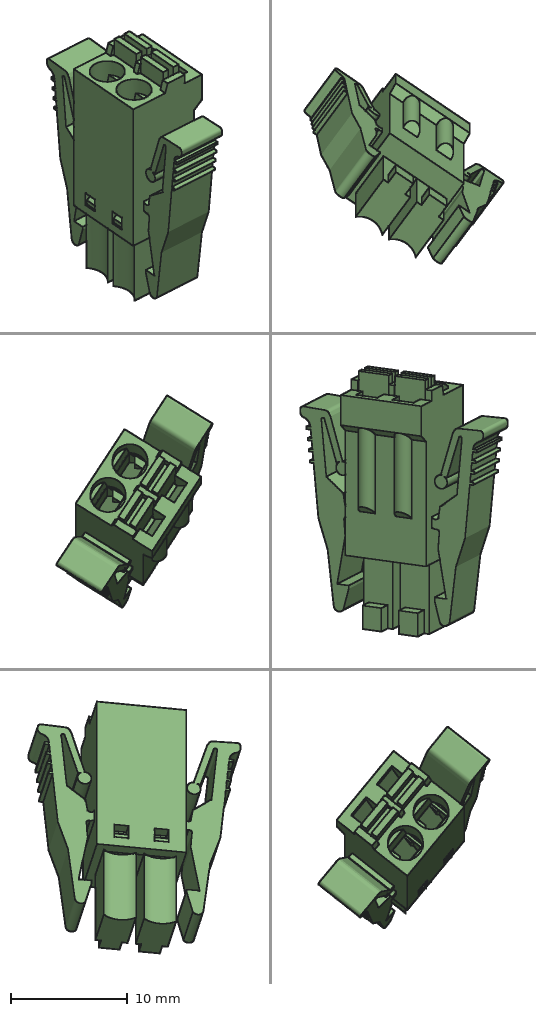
import cadquery as cq
import math


POLE_PITCH = 3.5
POLE_X = (-POLE_PITCH / 2, POLE_PITCH / 2)

HOUSING_WIDTH = 7.8
HOUSING_DEPTH = 7.8
HOUSING_BOTTOM = 6.61
HOUSING_TOP = 21.1
BACK_STEP = 0.9
LOWER_BACK = HOUSING_DEPTH - BACK_STEP
BACK_STEP_TOP = 18.42
BACK_SLOPE_DROP = 0.7

RIB_RADIUS = 0.75
RIB_BOTTOM = 10.7

CHEEK_TOP = 22.0
CHEEK_BACK = 5.84
CHEEK_FRONT_TOP = 3.9
CHEEK_FRONT_FOOT = 3.63

WELL_WIDTH = 2.99
WELL_FRONT = 3.95
WELL_BACK = CHEEK_BACK
WELL_FLOOR = 17.78
BUTTON_WIDTH = 2.92
BUTTON_SHIFT = (WELL_WIDTH - BUTTON_WIDTH) / 2
BUTTON_BACK = 5.7
BUTTON_TOP = 22.8
BUTTON_BAR = 0.6
BUTTON_SLOT_FLOOR = HOUSING_TOP

POCKET_WIDTH = 2.05
POCKET_BACK = 7.1
POCKET_FRONT = 6.09
POCKET_SLOPE = 66.5

ENTRY_Y = 1.94
ENTRY_DIAMETER = 3.03
ENTRY_DEPTH = 1.45
ENTRY_FLOOR = HOUSING_TOP - ENTRY_DEPTH
FUNNEL_FRONT = 0.87
FUNNEL_BACK = 3.03
FUNNEL_TAPER = 0.2
FUNNEL_BOTTOM = 17.78

CONTACT_WIDTH = 2.7
CONTACT_FRONT = 0.98
CONTACT_BACK = 2.95
CONTACT_TOP = FUNNEL_BOTTOM
CONTACT_MOUTH_FRONT = FUNNEL_FRONT + FUNNEL_TAPER
CONTACT_MOUTH_BACK = FUNNEL_BACK - FUNNEL_TAPER
CONTACT_SLOPE = 62.6
MOUTH_LEFT = -1.2
MOUTH_LEFT_BACK = -0.68
MOUTH_RIGHT = 1.07
MOUTH_RIGHT_BACK = 0.9
SHOULDER_FRONT = 1.66
SHOULDER_BACK = 1.98
LEDGE_FRONT = 1.87
LEDGE_DEPTH = 0.23

SLEEVE_WIDTH = 2.8
SLEEVE_FRONT = 0.78
BASE_BACK = 4.92
CORE_FRONT = 1.05
CORE_TOP = 10.25
CORE_WIDTH = POLE_PITCH + SLEEVE_WIDTH
FOOT_BACK = 6.09
FOOT_HEIGHT = 2.1
FOOT_WIDTH = 1.82

WINDOW_WIDTH = 1.23
WINDOW_BOTTOM = 7.5
WINDOW_TOP = 8.75
NOSE_FRONT = 0.15
NOSE_FACE_TOP = 7.93
NOSE_TOP = 8.55

LATCH_FRONT = 1.2
LATCH_BACK = 5.81
BALL_DIAMETER = 1.2


def box(x_min, x_max, y_min, y_max, z_min, z_max):
    size = (x_max - x_min, y_max - y_min, z_max - z_min)
    return cq.Workplane("XY").box(*size, centered=False).translate((x_min, y_min, z_min))


def pole_box(x, width, y_min, y_max, z_min, z_max):
    return box(x - width / 2, x + width / 2, y_min, y_max, z_min, z_max)


def side_prism(points, x, width):
    """Extrude a (Y, Z) outline along X, centred on x."""
    return cq.Workplane("YZ").polyline(points).close().extrude(width / 2, both=True).translate((x, 0, 0))


def back_rib(x):
    flat = BACK_STEP - RIB_RADIUS
    rib = (
        cq.Workplane("XY")
        .workplane(offset=RIB_BOTTOM)
        .moveTo(x - RIB_RADIUS, LOWER_BACK)
        .lineTo(x - RIB_RADIUS, LOWER_BACK + flat)
        .threePointArc((x, HOUSING_DEPTH), (x + RIB_RADIUS, LOWER_BACK + flat))
        .lineTo(x + RIB_RADIUS, LOWER_BACK)
        .close()
        .extrude(BACK_STEP_TOP - RIB_BOTTOM)
    )
    end_slope = side_prism(
        [
            (LOWER_BACK, RIB_BOTTOM),
            (HOUSING_DEPTH, RIB_BOTTOM),
            (HOUSING_DEPTH, RIB_BOTTOM + BACK_SLOPE_DROP),
        ],
        x,
        2 * RIB_RADIUS,
    )
    return rib.cut(end_slope)


def test_pocket(x):
    """Pocket open to the well: its back wall drops straight, then slopes to the well floor."""
    slope_height = (POCKET_BACK - POCKET_FRONT) * math.tan(math.radians(POCKET_SLOPE))
    outline = [
        (POCKET_BACK, HOUSING_TOP),
        (POCKET_BACK, WELL_FLOOR + slope_height),
        (POCKET_FRONT, WELL_FLOOR),
        (WELL_BACK, WELL_FLOOR),
        (WELL_BACK, HOUSING_TOP),
    ]
    return side_prism(outline, x, POCKET_WIDTH)


def wire_entry(x):
    """Round bore that goes on below its floor with tapered front and back walls."""
    radius = ENTRY_DIAMETER / 2
    bore = cq.Workplane("XY").circle(radius).extrude(HOUSING_TOP - FUNNEL_BOTTOM)
    bore = bore.translate((x, ENTRY_Y, FUNNEL_BOTTOM))
    funnel = side_prism(
        [
            (CONTACT_MOUTH_FRONT, FUNNEL_BOTTOM),
            (FUNNEL_FRONT, ENTRY_FLOOR),
            (FUNNEL_BACK, ENTRY_FLOOR),
            (CONTACT_MOUTH_BACK, FUNNEL_BOTTOM),
        ],
        x,
        ENTRY_DIAMETER,
    )
    round_part = pole_box(
        x, ENTRY_DIAMETER, ENTRY_Y - radius, ENTRY_Y + radius, ENTRY_FLOOR, HOUSING_TOP
    )
    return bore.intersect(funnel.union(round_part))


def contact_block(x):
    return pole_box(x, CONTACT_WIDTH, CONTACT_FRONT, CONTACT_BACK, CORE_TOP, CONTACT_TOP)


def base_core():
    return box(-CORE_WIDTH / 2, CORE_WIDTH / 2, CORE_FRONT, BASE_BACK, HOUSING_BOTTOM, CORE_TOP)


def make_housing():
    outline = [
        (0, HOUSING_BOTTOM),
        (LOWER_BACK, HOUSING_BOTTOM),
        (LOWER_BACK, BACK_STEP_TOP - BACK_SLOPE_DROP),
        (HOUSING_DEPTH, BACK_STEP_TOP),
        (HOUSING_DEPTH, HOUSING_TOP),
        (CHEEK_BACK, HOUSING_TOP),
        (CHEEK_BACK, CHEEK_TOP),
        (CHEEK_FRONT_TOP, CHEEK_TOP),
        (CHEEK_FRONT_FOOT, HOUSING_TOP),
        (0, HOUSING_TOP),
    ]
    housing = side_prism(outline, 0, HOUSING_WIDTH).cut(base_core())
    for x in POLE_X:
        housing = (
            housing.union(back_rib(x))
            .cut(pole_box(x, WELL_WIDTH, CHEEK_FRONT_FOOT, WELL_BACK, HOUSING_TOP, CHEEK_TOP))
            .cut(pole_box(x, WELL_WIDTH, WELL_FRONT, WELL_BACK, WELL_FLOOR, HOUSING_TOP))
            .cut(test_pocket(x))
            .cut(wire_entry(x))
            .cut(contact_block(x))
            .cut(pole_box(x, WINDOW_WIDTH, 0, CORE_FRONT, WINDOW_BOTTOM, WINDOW_TOP))
        )
    return housing


def make_button(x):
    center = x + BUTTON_SHIFT
    block = pole_box(center, BUTTON_WIDTH, WELL_FRONT, BUTTON_BACK, WELL_FLOOR, BUTTON_TOP)
    slot_front = WELL_FRONT + BUTTON_BAR
    slot_back = BUTTON_BACK - BUTTON_BAR
    slot = pole_box(center, BUTTON_WIDTH, slot_front, slot_back, BUTTON_SLOT_FLOOR, BUTTON_TOP)
    return block.cut(slot)


def make_contact(x):
    """Clamp block with a mouth that is wider at the front and ends on a sloped spring face."""
    mouth_outline = [
        (MOUTH_LEFT, CONTACT_MOUTH_FRONT),
        (MOUTH_RIGHT, CONTACT_MOUTH_FRONT),
        (MOUTH_RIGHT, LEDGE_FRONT),
        (MOUTH_RIGHT_BACK, LEDGE_FRONT + MOUTH_RIGHT - MOUTH_RIGHT_BACK),
        (MOUTH_RIGHT_BACK, CONTACT_MOUTH_BACK),
        (MOUTH_LEFT_BACK, CONTACT_MOUTH_BACK),
        (MOUTH_LEFT_BACK, SHOULDER_BACK),
        (MOUTH_LEFT, SHOULDER_FRONT),
    ]
    drop = (CONTACT_MOUTH_BACK - CONTACT_MOUTH_FRONT) * math.tan(math.radians(CONTACT_SLOPE))
    mouth = cq.Workplane("XY").polyline(mouth_outline).close().extrude(drop)
    mouth = mouth.translate((x, 0, CONTACT_TOP - drop))
    above_spring = side_prism(
        [
            (CONTACT_MOUTH_FRONT, CONTACT_TOP),
            (CONTACT_MOUTH_BACK, CONTACT_TOP),
            (CONTACT_MOUTH_FRONT, CONTACT_TOP - drop),
        ],
        x,
        CONTACT_WIDTH,
    )
    ledge = box(
        x + MOUTH_RIGHT_BACK,
        x + MOUTH_RIGHT,
        LEDGE_FRONT,
        CONTACT_MOUTH_BACK,
        CONTACT_TOP - LEDGE_DEPTH,
        CONTACT_TOP,
    )
    return contact_block(x).cut(mouth.intersect(above_spring)).cut(ledge)


def sleeve(x):
    """Block below the housing whose front is a hollow quarter-circle arc."""
    half = SLEEVE_WIDTH / 2
    hollow_depth = half * math.tan(math.radians(22.5))
    return (
        cq.Workplane("XY")
        .moveTo(x - half, SLEEVE_FRONT)
        .threePointArc((x, SLEEVE_FRONT + hollow_depth), (x + half, SLEEVE_FRONT))
        .lineTo(x + half, BASE_BACK)
        .lineTo(x - half, BASE_BACK)
        .close()
        .extrude(HOUSING_BOTTOM)
    )


def snap_nose(x):
    outline = [
        (CORE_FRONT, WINDOW_BOTTOM),
        (NOSE_FRONT, WINDOW_BOTTOM),
        (NOSE_FRONT, NOSE_FACE_TOP),
        (CORE_FRONT, NOSE_TOP),
    ]
    return side_prism(outline, x, WINDOW_WIDTH)


def make_base():
    base = base_core()
    for x in POLE_X:
        base = (
            base.union(sleeve(x))
            .union(pole_box(x, FOOT_WIDTH, BASE_BACK, FOOT_BACK, 0, FOOT_HEIGHT))
            .union(snap_nose(x))
        )
    return base


def latch_plate(outline):
    """Extrude a closed XZ outline over the depth of the latch."""
    return outline.extrude(LATCH_FRONT - LATCH_BACK).translate((0, LATCH_FRONT, 0))


def make_latch():
    """Latch lever on the -X side of the housing."""
    wall = -HOUSING_WIDTH / 2
    lever = latch_plate(
        cq.Workplane("XZ")
        .moveTo(-8.57, 19.02)
        .lineTo(-6.5, 18.95)
        .threePointArc((-6.27, 18.9), (-6.09, 18.76))
        .lineTo(-5.9, 18.45)
        .lineTo(-4.75, 14.6)
        .lineTo(-5.34, 14.4)
        .lineTo(-6.48, 18.08)
        .threePointArc((-6.63, 18.25), (-6.8, 18.05))
        .lineTo(-6.32, 13.05)
        .lineTo(-4.67, 11.76)
        .lineTo(-4.51, 10.76)
        .threePointArc((-4.3, 10.58), (wall, 10.76))
        .lineTo(wall, 9.75)
        .lineTo(-4.29, 9.7)
        .threePointArc((-4.51, 9.65), (-4.6, 9.45))
        .lineTo(-4.5, 7.98)
        .lineTo(-5.27, 3.63)
        .lineTo(-4.15, 3.63)
        .lineTo(-4.15, 3.33)
        .lineTo(-4.67, 1.41)
        .threePointArc((-5.13, 1.19), (-5.6, 1.62))
        .lineTo(-6.2, 6.6)
        .lineTo(-7.1, 9.25)
        .lineTo(-7.87, 17.33)
        .threePointArc((-8.07, 17.75), (-8.44, 18.01))
        .threePointArc((-8.75, 18.22), (-8.85, 18.5))
        .lineTo(-8.85, 18.7)
        .threePointArc((-8.75, 18.92), (-8.57, 19.02))
        .close()
    )
    ball = latch_plate(cq.Workplane("XZ").center(-4.77, 13.98).circle(BALL_DIAMETER / 2))
    return lever.union(ball).union(grip_ribs())


def grip_ribs():
    """Four small ribs that step down the outer side below the thumb rest."""
    rib_count = 4
    rib_height = 0.25
    rib_length = 0.68
    top_rib_tip = -8.23
    top_rib_z = 17.15
    step_down = 0.98
    step_in = 0.103
    tip_rounding = 0.11
    ribs = cq.Workplane("XY")
    for i in range(rib_count):
        tip = top_rib_tip + i * step_in
        z = top_rib_z - i * step_down
        rib = box(tip, tip + rib_length, LATCH_FRONT, LATCH_BACK, z - rib_height / 2, z + rib_height / 2)
        if i > 0:
            rib = rib.edges("|Y and <X").fillet(tip_rounding)
        ribs = ribs.add(rib)
    return ribs.combine()


housing = make_housing()
base = make_base()
buttons = [make_button(x) for x in POLE_X]
contacts = [make_contact(x) for x in POLE_X]
left_latch = make_latch()
latches = [left_latch, left_latch.mirror("YZ")]

result = cq.Compound.makeCompound(
    [body.val() for body in [housing, base, *buttons, *contacts, *latches]]
)